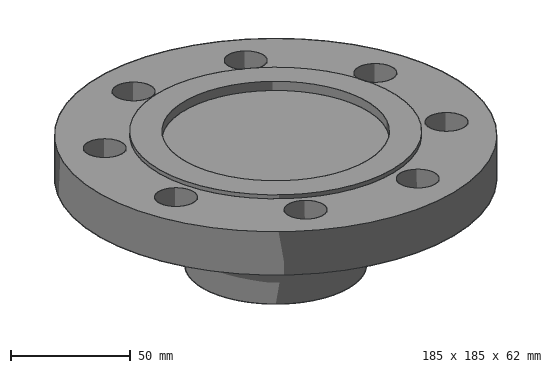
import cadquery as cq
import math

flange_diameter = 185.0
flange_thickness = 20.2
face_diameter = 122.1
face_height = 1.8
total_height = 62.0

recess_diameter = 95.0
recess_depth = 4.3

hub_diameter = 95.0
neck_diameter = 76.2
neck_length = 11.0
hub_fillet = 6.0

bolt_count = 8
bolt_circle_diameter = 145.0
bolt_hole_diameter = 18.0

face_top = total_height
flange_top = face_top - face_height
flange_bottom = flange_top - flange_thickness

taper_angle = math.atan2((hub_diameter - neck_diameter) / 2, flange_bottom - neck_length)
root_tangent = hub_fillet * math.tan((math.pi / 2 - taper_angle) / 2)
neck_tangent = hub_fillet * math.tan(taper_angle / 2)


def along_taper(start_radius, start_height, distance):
    """Point at a signed distance up the taper from a starting point."""
    return (
        start_radius + distance * math.sin(taper_angle),
        start_height + distance * math.cos(taper_angle),
    )


def make_body():
    """Revolve the stepped outline, with tangent arcs at both ends of the taper."""
    neck_radius = neck_diameter / 2
    hub_radius = hub_diameter / 2
    return (
        cq.Workplane("XZ")
        .lineTo(neck_radius, 0)
        .lineTo(neck_radius, neck_length - neck_tangent)
        .tangentArcPoint(along_taper(neck_radius, neck_length, neck_tangent), relative=False)
        .lineTo(*along_taper(hub_radius, flange_bottom, -root_tangent))
        .tangentArcPoint((hub_radius + root_tangent, flange_bottom), relative=False)
        .lineTo(flange_diameter / 2, flange_bottom)
        .lineTo(flange_diameter / 2, flange_top)
        .lineTo(face_diameter / 2, flange_top)
        .lineTo(face_diameter / 2, face_top)
        .lineTo(0, face_top)
        .close()
        .revolve(360, (0, 0), (0, 1))
    )


def make_recess():
    return (
        cq.Workplane("XY")
        .workplane(offset=face_top - recess_depth)
        .circle(recess_diameter / 2)
        .extrude(recess_depth)
    )


def make_bolt_holes():
    first_angle = 360 / bolt_count / 2
    return (
        cq.Workplane("XY")
        .workplane(offset=flange_bottom)
        .polarArray(bolt_circle_diameter / 2, first_angle, 360, bolt_count)
        .circle(bolt_hole_diameter / 2)
        .extrude(flange_thickness)
    )


result = make_body().cut(make_recess()).cut(make_bolt_holes())